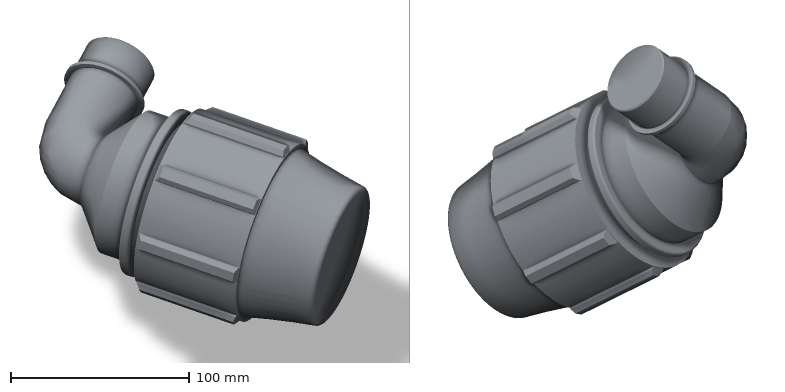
import cadquery as cq
import math

total_length = 192.1
pipe_radius = 41.9 / 2
flange_radius = 48.2 / 2
pipe_x = flange_radius
pipe_end_y = 76.0
pipe_end_chamfer = 0.8
flange_y = 52.0
flange_thickness = 2.1

cone_start_x = 41.3
cone_end_x = 60.1
body_radius = 84.7 / 2
collar_radius = 98.4 / 2
collar_x = 76.8
collar_width = 5.4
collar_fillet = 1.3

nut_start_x = 87.8
nut_end_x = 149.8
nut_radius = 52.6
nose_start_radius = 49.8
nose_end_radius = 41.1
nose_sag = 0.5
nose_fillet = 2.5
rib_count = 8
rib_top_radius = 56.3
rib_shoulder_radius = 53.5
rib_base_radius = 51.9
rib_base_width = 9.6
rib_top_width = 5.8
rib_front_slope = 3.5
rib_back_slope = 1.5

bend_radius = cone_start_x - pipe_x


def disc_on_main_axis(start_x, end_x, radius):
    return cq.Workplane("YZ", origin=(start_x, 0, 0)).circle(radius).extrude(end_x - start_x)


def disc_on_pipe_axis(start_y, end_y, radius):
    plane = cq.Plane(origin=(pipe_x, start_y, 0), xDir=(1, 0, 0), normal=(0, 1, 0))
    return cq.Workplane(plane).circle(radius).extrude(end_y - start_y)


def make_pipe():
    pipe = disc_on_pipe_axis(bend_radius, pipe_end_y, pipe_radius)
    pipe = pipe.faces(">Y").chamfer(pipe_end_chamfer)
    flange = disc_on_pipe_axis(flange_y, flange_y + flange_thickness, flange_radius)
    return pipe.union(flange)


def make_elbow():
    half_chord = math.sqrt(pipe_radius**2 - bend_radius**2)
    section = (
        cq.Workplane("XZ", origin=(pipe_x, bend_radius, 0))
        .moveTo(bend_radius, half_chord)
        .threePointArc((-pipe_radius, 0), (bend_radius, -half_chord))
        .close()
    )
    return section.revolve(90, (bend_radius, 0), (bend_radius, 1))


def make_body():
    cone = (
        cq.Workplane("XY")
        .moveTo(cone_start_x, 0)
        .lineTo(cone_start_x, pipe_radius)
        .lineTo(cone_end_x, body_radius)
        .lineTo(cone_end_x, 0)
        .close()
        .revolve(360, (0, 0), (1, 0))
    )
    barrel = disc_on_main_axis(cone_end_x, nut_start_x, body_radius)
    collar = disc_on_main_axis(collar_x, collar_x + collar_width, collar_radius)
    collar = collar.edges().fillet(collar_fillet)
    return cone.union(barrel).union(collar)


def make_nose():
    nose_middle = (
        (nut_end_x + total_length) / 2,
        (nose_start_radius + nose_end_radius) / 2 - nose_sag,
    )
    nose = (
        cq.Workplane("XY")
        .moveTo(nut_end_x, 0)
        .lineTo(nut_end_x, nose_start_radius)
        .threePointArc(nose_middle, (total_length, nose_end_radius))
        .lineTo(total_length, 0)
        .close()
        .revolve(360, (0, 0), (1, 0))
    )
    return nose.faces(">X").edges().fillet(nose_fillet)


def make_rib():
    bar = (
        cq.Workplane("YZ", origin=(nut_start_x, 0, 0))
        .moveTo(-rib_base_width / 2, rib_base_radius)
        .lineTo(-rib_base_width / 2, rib_shoulder_radius)
        .lineTo(-rib_top_width / 2, rib_top_radius)
        .lineTo(rib_top_width / 2, rib_top_radius)
        .lineTo(rib_base_width / 2, rib_shoulder_radius)
        .lineTo(rib_base_width / 2, rib_base_radius)
        .close()
        .extrude(nut_end_x - nut_start_x)
    )
    side_profile = (
        cq.Workplane("XZ")
        .moveTo(nut_start_x, rib_base_radius)
        .lineTo(nut_start_x + rib_front_slope, rib_top_radius)
        .lineTo(nut_end_x - rib_back_slope, rib_top_radius)
        .lineTo(nut_end_x, rib_base_radius)
        .close()
        .extrude(rib_base_width, both=True)
    )
    return bar.intersect(side_profile)


def make_nut():
    nut = disc_on_main_axis(nut_start_x, nut_end_x, nut_radius)
    rib = make_rib()
    rib_pitch = 360 / rib_count
    for index in range(rib_count):
        angle = (index + 0.5) * rib_pitch
        nut = nut.union(rib.rotate((0, 0, 0), (1, 0, 0), angle))
    return nut


result = make_body().union(make_nut()).union(make_nose()).union(make_elbow()).union(make_pipe())